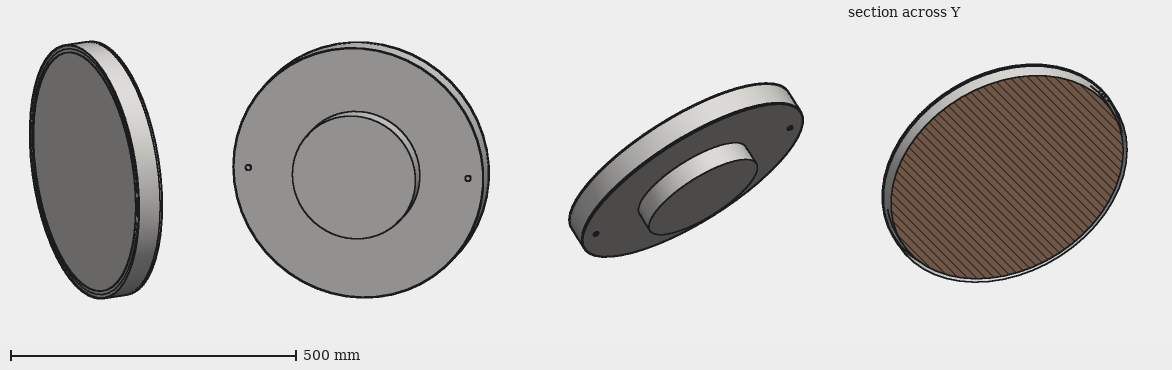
import cadquery as cq

outer_diameter = 450.0
overall_depth = 82.0

sheet_thickness = 1.5
opening_diameter = 423.0

disc_diameter = 435.5
flange_thickness = 3.5
drum_diameter = 221.0
drum_height = 36.5
stud_diameter = 10.0
stud_height = 2.5
stud_spacing = 394.0

bore_diameter = outer_diameter - 2 * sheet_thickness

front_y = -overall_depth / 2
lip_back_y = front_y + sheet_thickness
drum_back_y = overall_depth / 2
ring_back_y = drum_back_y - drum_height
flange_front_y = ring_back_y - flange_thickness


def cylinder_along_y(diameter, start_y, end_y, x=0.0):
    """Cylinder parallel to Y that runs from start_y to end_y."""
    plane = cq.Plane(origin=(x, start_y, 0), xDir=(1, 0, 0), normal=(0, 1, 0))
    return cq.Workplane(plane).circle(diameter / 2).extrude(end_y - start_y)


def make_ring():
    """Thin band, open at the back, with a lip around the opening at the front."""
    band = cylinder_along_y(outer_diameter, front_y, ring_back_y)
    opening = cylinder_along_y(opening_diameter, front_y, lip_back_y)
    bore = cylinder_along_y(bore_diameter, lip_back_y, ring_back_y)
    return band.cut(opening).cut(bore)


def make_core():
    """Disc resting on the lip, with a flange in the bore, a drum and a stud on either side of it."""
    core = cylinder_along_y(disc_diameter, lip_back_y, flange_front_y)
    core = core.union(cylinder_along_y(bore_diameter, flange_front_y, ring_back_y))
    core = core.union(cylinder_along_y(drum_diameter, ring_back_y, drum_back_y))
    for side in (-1, 1):
        stud_x = side * stud_spacing / 2
        stud = cylinder_along_y(stud_diameter, ring_back_y, ring_back_y + stud_height, stud_x)
        core = core.union(stud)
    return core


ring = make_ring()
core = make_core()

result = cq.Compound.makeCompound([ring.val(), core.val()])